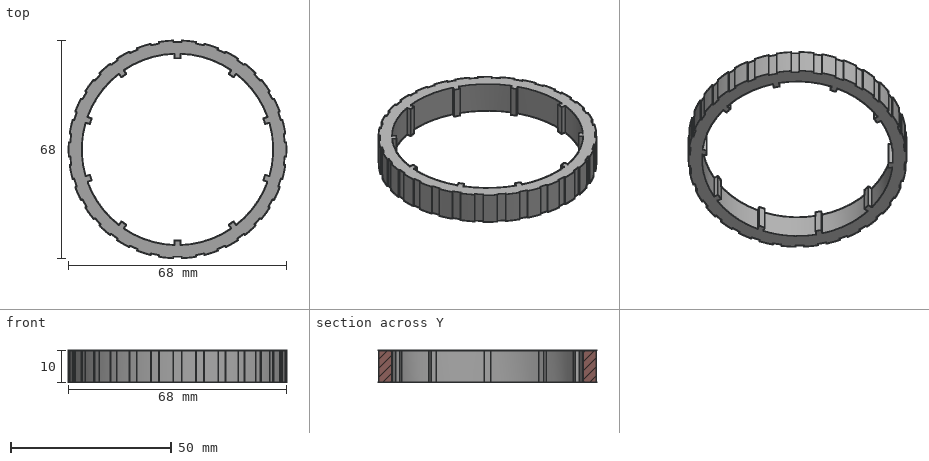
import cadquery as cq

outer_diameter = 68.0
inner_diameter = 59.6
height = 10.0
outer_radius = outer_diameter / 2
inner_radius = inner_diameter / 2

groove_count = 30
groove_width = 2.6
groove_depth = 0.5
groove_floor_radius = outer_radius - groove_depth

rib_count = 10
rib_width = 1.9
rib_tip_radius = 28.4

first_angle = 90.0

overlap = 1.0


def make_ring():
    """Plain ring standing on the XY plane."""
    return cq.Workplane("XY").circle(outer_radius).circle(inner_radius).extrude(height)


def radial_bars(count, width, start_radius, end_radius):
    """Full-height bars of constant width, evenly spaced and pointing at the Z axis."""
    return (
        cq.Workplane("XY")
        .polarArray((start_radius + end_radius) / 2, first_angle, 360, count)
        .rect(end_radius - start_radius, width)
        .extrude(height)
    )


def make_grooves():
    """Flat-floored cutters that notch the outer surface."""
    return radial_bars(groove_count, groove_width, groove_floor_radius, outer_radius + overlap)


def make_ribs():
    """Square-tipped ribs rooted inside the ring wall."""
    return radial_bars(rib_count, rib_width, rib_tip_radius, inner_radius + overlap)


result = make_ring().cut(make_grooves()).union(make_ribs())